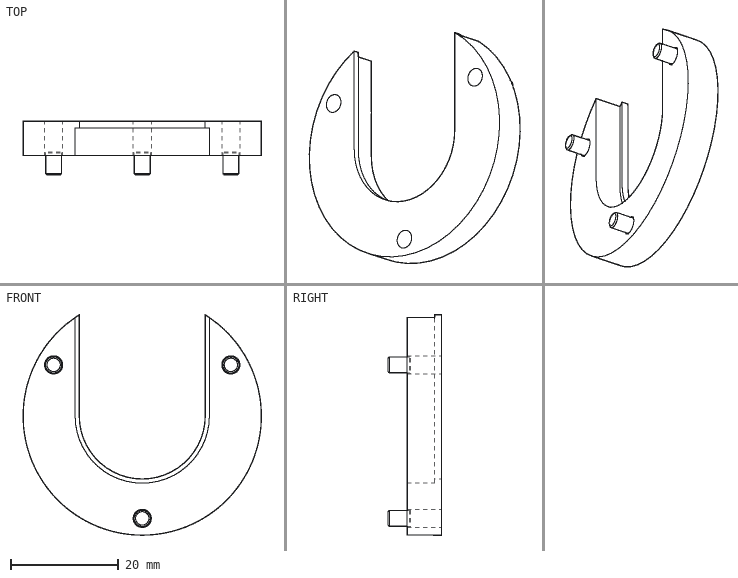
import cadquery as cq
import math

outer_radius = 22.22
total_depth = 10.0
ring_thickness = 6.4

opening_width = 25.03
lip_opening_width = 23.43
lip_thickness = 1.3

neck_diameter = 3.02
body_diameter = 3.4
tip_chamfer = 0.25
neck_recess = 0.45
neck_protrusion = total_depth - ring_thickness
pin_circle_radius = 19.05
pin_angles = [30, 150, 270]
pin_centers = [
    (pin_circle_radius * math.cos(math.radians(angle)), pin_circle_radius * math.sin(math.radians(angle)))
    for angle in pin_angles
]


def plane_at(y):
    """XZ plane at depth y; its normal is -Y, so a negative extrusion runs toward the back."""
    return cq.Plane.named("XZ", origin=(0, y, 0))


def u_cutter(width, y_start, length):
    """U-shaped prism, round at the bottom and reaching the outer radius at the top."""
    radius = width / 2
    return (
        cq.Workplane(plane_at(y_start))
        .moveTo(-radius, outer_radius)
        .lineTo(-radius, 0)
        .threePointArc((0, -radius), (radius, 0))
        .lineTo(radius, outer_radius)
        .close()
        .extrude(-length)
    )


def make_ring():
    """Open ring with a stepped U-shaped opening and a through hole for each pin."""
    lip_front = ring_thickness - lip_thickness
    disc = cq.Workplane(plane_at(0)).circle(outer_radius).extrude(-ring_thickness)
    ring = disc.cut(u_cutter(opening_width, 0, lip_front))
    ring = ring.cut(u_cutter(lip_opening_width, lip_front, lip_thickness))

    hole = cq.Workplane(plane_at(0)).circle(body_diameter / 2).extrude(-ring_thickness)
    for x, z in pin_centers:
        ring = ring.cut(hole.translate((x, 0, z)))
    return ring


def make_pin(x, z):
    """Stepped round pin along Y: chamfered tip, neck, 45-degree shoulder, then the body."""
    neck_radius = neck_diameter / 2
    body_radius = body_diameter / 2
    tip_y = -neck_protrusion
    shoulder_length = body_radius - neck_radius
    half_profile = [
        (0, tip_y),
        (neck_radius - tip_chamfer, tip_y),
        (neck_radius, tip_y + tip_chamfer),
        (neck_radius, neck_recess),
        (body_radius, neck_recess + shoulder_length),
        (body_radius, ring_thickness),
        (0, ring_thickness),
    ]
    pin = cq.Workplane("XY").polyline(half_profile).close().revolve(360, (0, 0, 0), (0, 1, 0))
    return pin.translate((x, 0, z))


ring = make_ring()
pins = [make_pin(x, z) for x, z in pin_centers]

result = cq.Compound.makeCompound([ring.val(), *[pin.val() for pin in pins]])